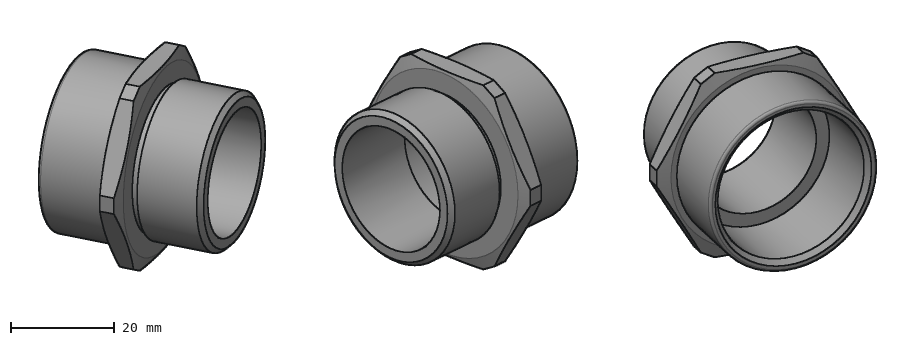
import cadquery as cq
import math

total_length = 33.5
collar_start = 14.0
collar_end = 18.5
neck_end = 19.97
socket_depth = 16.0

socket_radius = 18.1
neck_radius = 15.0
spigot_radius = 16.0
socket_bore_radius = 15.78
through_bore_radius = 12.95

mouth_outer_round = 0.57
mouth_inner_chamfer = 1.05
spigot_chamfer = spigot_radius - neck_radius

across_flats = 40.0
across_trimmed_corners = 44.2
collar_face_radius = 19.45
collar_chamfer_angle = 16.0


def cylinder(radius, start, end):
    """Solid cylinder on the X axis between two positions."""
    return cq.Workplane("YZ", origin=(start, 0, 0)).circle(radius).extrude(end - start)


def hexagon_prism(flats, first_corner_angle):
    """Hexagonal prism as long as the collar, given its distance across flats."""
    corner_radius = flats / math.sqrt(3)
    corner_angles = [math.radians(first_corner_angle + 60 * i) for i in range(6)]
    corners = [(corner_radius * math.cos(a), corner_radius * math.sin(a)) for a in corner_angles]
    plane = cq.Workplane("YZ", origin=(collar_start, 0, 0))
    return plane.polyline(corners).close().extrude(collar_end - collar_start)


def make_collar():
    """Hexagon with flats top and bottom, trimmed corners and conical chamfers on both faces."""
    hexagon = hexagon_prism(across_flats, 0)
    corner_trim = hexagon_prism(across_trimmed_corners, 30)

    rim_radius = across_flats / math.sqrt(3)
    chamfer_length = (rim_radius - collar_face_radius) * math.tan(math.radians(collar_chamfer_angle))
    double_cone = (
        cq.Workplane("XY")
        .moveTo(collar_start, 0)
        .lineTo(collar_start, collar_face_radius)
        .lineTo(collar_start + chamfer_length, rim_radius)
        .lineTo(collar_end - chamfer_length, rim_radius)
        .lineTo(collar_end, collar_face_radius)
        .lineTo(collar_end, 0)
        .close()
        .revolve(360, (0, 0, 0), (1, 0, 0))
    )
    return hexagon.intersect(corner_trim).intersect(double_cone)


def make_bore():
    """Through bore, wider socket bore and the chamfer at the socket mouth."""
    mouth_radius = socket_bore_radius + mouth_inner_chamfer
    return (
        cq.Workplane("XY")
        .lineTo(0, mouth_radius)
        .lineTo(mouth_inner_chamfer, socket_bore_radius)
        .lineTo(socket_depth, socket_bore_radius)
        .lineTo(socket_depth, through_bore_radius)
        .lineTo(total_length, through_bore_radius)
        .lineTo(total_length, 0)
        .close()
        .revolve(360, (0, 0, 0), (1, 0, 0))
    )


socket = cylinder(socket_radius, 0, collar_start).faces("<X").edges().fillet(mouth_outer_round)
neck = cylinder(neck_radius, collar_end, neck_end)
spigot = cylinder(spigot_radius, neck_end, total_length).faces(">X").edges().chamfer(spigot_chamfer)

result = socket.union(make_collar()).union(neck).union(spigot).cut(make_bore())